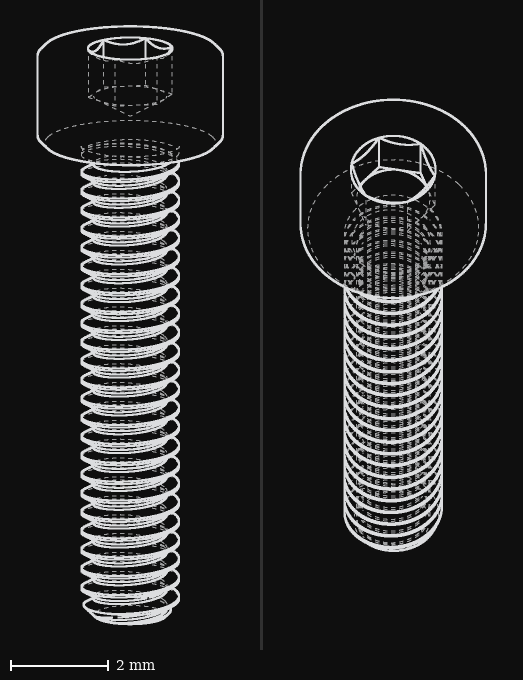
import cadquery as cq
import math


head_diameter = 3.8
head_height = 2.0
top_chamfer = 0.14
seat_chamfer = 0.15
chamfer_edge_fillet = 0.05

socket_width = 1.5
hexagon_half_angle = 30.0
socket_depth = 1.0
drill_point_angle = 120.0
mouth_chamfer_angle = 45.0

thread_diameter = 2.0
shank_length = 10.0
neck_length = 0.2
neck_fillet = 0.1
tip_radius = 0.735

pitch = 0.4
flank_angle = 30.0
crest_width = pitch / 8
sharp_height = pitch / 2 / math.tan(math.radians(flank_angle))
thread_depth = sharp_height * 17 / 24
groove_mouth_width = pitch - crest_width
groove_start_below_tip = 0.65
groove_turns = math.ceil((shank_length + groove_start_below_tip) / pitch)
groove_overcut = 0.02
rod_overrun = 1.5

thread_radius = thread_diameter / 2
root_radius = thread_radius - thread_depth


def revolve_profile(profile):
    """Revolve a radius-height profile around the Z axis, with the seam on the -Y side."""
    solid = profile.close().revolve(360, (0, 0, 0), (0, 1, 0))
    return solid.rotate((0, 0, 0), (0, 0, 1), -90)


def make_head():
    """Round head, chamfered at both ends, with every chamfer edge rounded except at the seat."""
    radius = head_diameter / 2
    head = revolve_profile(
        cq.Workplane("XZ")
        .moveTo(0, 0)
        .lineTo(radius - seat_chamfer, 0)
        .lineTo(radius, seat_chamfer)
        .lineTo(radius, head_height - top_chamfer)
        .lineTo(radius - top_chamfer, head_height)
        .lineTo(0, head_height)
    )
    above_seat = cq.selectors.BoxSelector(
        (-radius, -radius, seat_chamfer / 2),
        (radius, radius, 2 * head_height),
    )
    return head.edges("%CIRCLE").edges(above_seat).fillet(chamfer_edge_fillet)


def make_shank_envelope():
    """Full-diameter shank with a 45 degree chamfer at the tip."""
    return revolve_profile(
        cq.Workplane("XZ")
        .moveTo(0, 0)
        .lineTo(thread_radius, 0)
        .lineTo(thread_radius, -shank_length + thread_radius - tip_radius)
        .lineTo(tip_radius, -shank_length)
        .lineTo(0, -shank_length)
    )


def make_neck():
    """Plain neck, filleted into the head seat and tapering to the thread root."""
    bend = neck_fillet * (1 - math.sqrt(0.5))
    return revolve_profile(
        cq.Workplane("XZ")
        .moveTo(0, 0)
        .lineTo(thread_radius + neck_fillet, 0)
        .threePointArc((thread_radius + bend, -bend), (thread_radius, -neck_fillet))
        .lineTo(thread_radius, -neck_length)
        .lineTo(root_radius, -neck_length - thread_depth)
        .lineTo(0, -neck_length - thread_depth)
    )


def make_thread_groove():
    """Right-handed helical groove that overruns both ends of the threaded length."""
    slope = math.tan(math.radians(flank_angle))
    outer_radius = thread_radius + groove_overcut
    outer_half_width = groove_mouth_width / 2 + groove_overcut * slope
    root_half_width = groove_mouth_width / 2 - thread_depth * slope
    start_z = -shank_length - groove_start_below_tip

    helix = cq.Wire.makeHelix(pitch, groove_turns * pitch, thread_radius, cq.Vector(0, 0, start_z))
    profile = cq.Workplane("XZ").polyline([
        (root_radius, start_z - root_half_width),
        (outer_radius, start_z - outer_half_width),
        (outer_radius, start_z + outer_half_width),
        (root_radius, start_z + root_half_width),
    ]).close()
    return profile.sweep(cq.Workplane("XY").newObject([helix]), isFrenet=True)


def make_threaded_shank():
    """Overlong grooved rod, trimmed to the shank envelope so that both groove ends are clean."""
    rod_length = shank_length + 2 * rod_overrun
    rod = revolve_profile(
        cq.Workplane("XZ")
        .moveTo(0, rod_overrun)
        .lineTo(thread_radius, rod_overrun)
        .lineTo(thread_radius, rod_overrun - rod_length)
        .lineTo(0, rod_overrun - rod_length)
    )
    return rod.cut(make_thread_groove()).intersect(make_shank_envelope())


def make_socket():
    """Hexagonal recess with a conical mouth chamfer and a drill-point bottom."""
    inner_radius = socket_width / 2
    corner_radius = inner_radius / math.cos(math.radians(hexagon_half_angle))
    floor_z = head_height - socket_depth
    point_depth = inner_radius / math.tan(math.radians(drill_point_angle / 2))
    mouth_depth = corner_radius / math.tan(math.radians(mouth_chamfer_angle))

    hexagon = (
        cq.Workplane("XY", origin=(0, 0, floor_z))
        .transformed(rotate=(0, 0, hexagon_half_angle))
        .polygon(6, 2 * corner_radius)
        .extrude(socket_depth)
    )
    mouth = revolve_profile(
        cq.Workplane("XZ")
        .moveTo(0, head_height)
        .lineTo(corner_radius, head_height)
        .lineTo(0, head_height - mouth_depth)
    )
    drill_point = revolve_profile(
        cq.Workplane("XZ")
        .moveTo(0, floor_z)
        .lineTo(inner_radius, floor_z)
        .lineTo(0, floor_z - point_depth)
    )
    return hexagon.union(mouth).union(drill_point)


head = make_head().cut(make_socket())
result = make_threaded_shank().union(make_neck()).union(head)